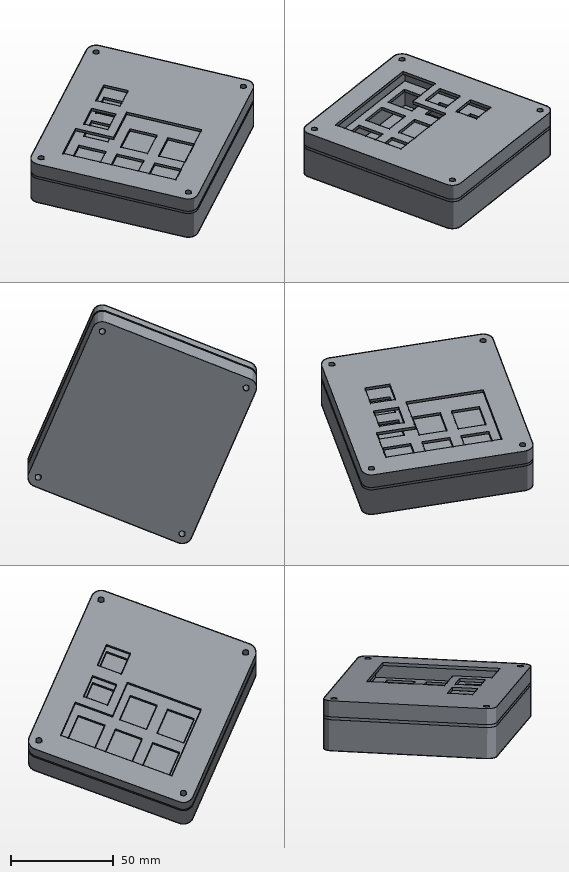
import cadquery as cq


WIDTH = 86.0
LENGTH = 91.5
CORNER_RADIUS = 5.0
WALL = 10.0
SCREW_INSET = 5.0
SCREW_DIAMETER = 2.9

CASE_HEIGHT = 15.65
CASE_FLOOR = 3.0
PLATE_THICKNESS = 1.5
COVER_HEIGHT = 8.05
COVER_TOP = 1.6

KEY_SIZE = 14.0
KEY_PITCH_X = 19.6
KEY_PITCH_Y = 19.4
FIRST_KEY_X = -19.6
FIRST_KEY_Y = -24.6
KEY_CELLS = [(0, 0), (1, 0), (2, 0), (1, 1), (2, 1)]

WINDOW_MARGIN = 2.6

SIDE_OPENING_WIDTH = 12.5
SIDE_OPENING_LENGTH = 12.0
SIDE_OPENING_PITCH = 18.0
FIRST_SIDE_OPENING_Y = -4.7

PLATE_BOTTOM = CASE_HEIGHT
COVER_BOTTOM = PLATE_BOTTOM + PLATE_THICKNESS
KEY_POINTS = [(FIRST_KEY_X + i * KEY_PITCH_X, FIRST_KEY_Y + j * KEY_PITCH_Y) for i, j in KEY_CELLS]
KEYS_LEFT = FIRST_KEY_X - KEY_SIZE / 2
SIDE_OPENING_X = KEYS_LEFT + SIDE_OPENING_WIDTH / 2
SIDE_OPENING_POINTS = [(SIDE_OPENING_X, FIRST_SIDE_OPENING_Y + i * SIDE_OPENING_PITCH) for i in range(2)]


def rounded_slab(bottom, height):
    """Slab with the enclosure outline and the four screw holes through it."""
    slab = cq.Workplane("XY").workplane(offset=bottom).rect(WIDTH, LENGTH).extrude(height)
    slab = slab.edges("|Z").fillet(CORNER_RADIUS)
    screw_holes = (
        cq.Workplane("XY")
        .workplane(offset=bottom)
        .rect(WIDTH - 2 * SCREW_INSET, LENGTH - 2 * SCREW_INSET, forConstruction=True)
        .vertices()
        .circle(SCREW_DIAMETER / 2)
        .extrude(height)
    )
    return slab.cut(screw_holes)


def cavity(bottom, height):
    """Rectangular hollow inside the enclosure walls."""
    hollow = cq.Workplane("XY").workplane(offset=bottom)
    return hollow.rect(WIDTH - 2 * WALL, LENGTH - 2 * WALL).extrude(height)


def side_openings(bottom, height):
    """The two rectangular openings beside the upper keys."""
    openings = cq.Workplane("XY").workplane(offset=bottom).pushPoints(SIDE_OPENING_POINTS)
    return openings.rect(SIDE_OPENING_WIDTH, SIDE_OPENING_LENGTH).extrude(height)


def key_window(bottom, height):
    """Stepped opening that follows the key group at a constant margin."""
    reach = KEY_SIZE / 2 + WINDOW_MARGIN
    left = FIRST_KEY_X - reach
    step_x = FIRST_KEY_X + KEY_PITCH_X - reach
    right = FIRST_KEY_X + 2 * KEY_PITCH_X + reach
    front = FIRST_KEY_Y - reach
    step_y = FIRST_KEY_Y + reach
    back = FIRST_KEY_Y + KEY_PITCH_Y + reach
    outline = [(left, front), (right, front), (right, back), (step_x, back), (step_x, step_y), (left, step_y)]
    return cq.Workplane("XY").workplane(offset=bottom).polyline(outline).close().extrude(height)


def make_case():
    """Box that is open at the top."""
    case_depth = CASE_HEIGHT - CASE_FLOOR
    return rounded_slab(0, CASE_HEIGHT).cut(cavity(CASE_FLOOR, case_depth))


def make_switch_plate():
    """Flat plate with square switch cutouts and the side openings."""
    key_cutouts = (
        cq.Workplane("XY")
        .workplane(offset=PLATE_BOTTOM)
        .pushPoints(KEY_POINTS)
        .rect(KEY_SIZE, KEY_SIZE)
        .extrude(PLATE_THICKNESS)
    )
    plate = rounded_slab(PLATE_BOTTOM, PLATE_THICKNESS).cut(key_cutouts)
    return plate.cut(side_openings(PLATE_BOTTOM, PLATE_THICKNESS))


def make_cover():
    """Cover that is hollow underneath, with the key window and side openings in its top."""
    ceiling = COVER_BOTTOM + COVER_HEIGHT - COVER_TOP
    cover = rounded_slab(COVER_BOTTOM, COVER_HEIGHT)
    cover = cover.cut(cavity(COVER_BOTTOM, COVER_HEIGHT - COVER_TOP))
    cover = cover.cut(key_window(ceiling, COVER_TOP))
    return cover.cut(side_openings(ceiling, COVER_TOP))


case = make_case()
switch_plate = make_switch_plate()
cover = make_cover()

result = cq.Compound.makeCompound([case.val(), switch_plate.val(), cover.val()])